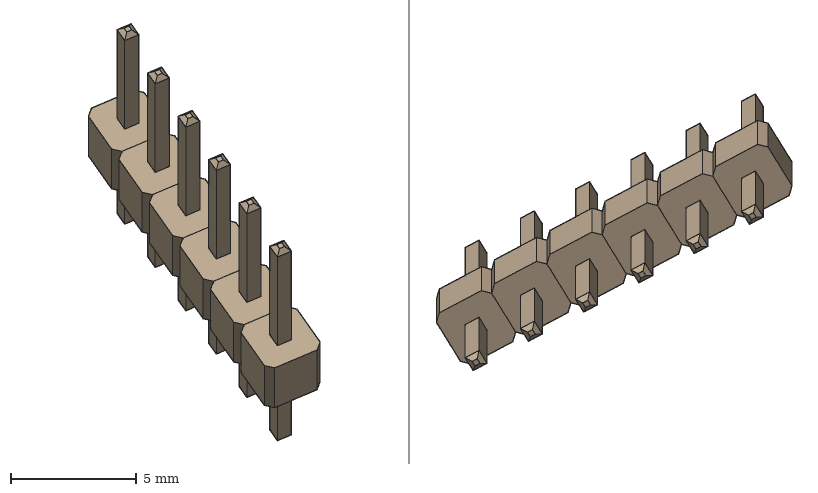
import cadquery as cq

row_length = 15.24
total_height = 12.0
unit_count = 6

pitch = row_length / unit_count
block_height = 2.51
corner_chamfer = 0.3

pin_width = 0.64
tip_width = 0.23
tip_length = 0.2
pin_below_block = 3.69


def make_block():
    """Square housing block with chamfered vertical edges, standing on Z = 0."""
    return (
        cq.Workplane("XY")
        .rect(pitch, pitch)
        .extrude(block_height)
        .edges("|Z")
        .chamfer(corner_chamfer)
    )


def make_tip(start_z, direction):
    """Pyramid frustum narrowing from the pin width; direction is +1 up, -1 down."""
    return (
        cq.Workplane("XY", origin=(0, 0, start_z))
        .rect(pin_width, pin_width)
        .workplane(offset=direction * tip_length)
        .rect(tip_width, tip_width)
        .loft(ruled=True)
    )


def make_pin():
    """Square pin with a tapered tip at each end."""
    shaft_bottom = tip_length - pin_below_block
    shaft_top = total_height - pin_below_block - tip_length
    shaft = (
        cq.Workplane("XY", origin=(0, 0, shaft_bottom))
        .rect(pin_width, pin_width)
        .extrude(shaft_top - shaft_bottom)
    )
    return shaft.union(make_tip(shaft_top, 1)).union(make_tip(shaft_bottom, -1))


def make_header_unit(center_x):
    """One header unit: a block and its pin as a single solid."""
    return make_block().union(make_pin()).translate((center_x, 0, 0))


first_center_x = (pitch - row_length) / 2
header_units = []
for index in range(unit_count):
    header_units.append(make_header_unit(first_center_x + index * pitch).val())

result = cq.Compound.makeCompound(header_units)